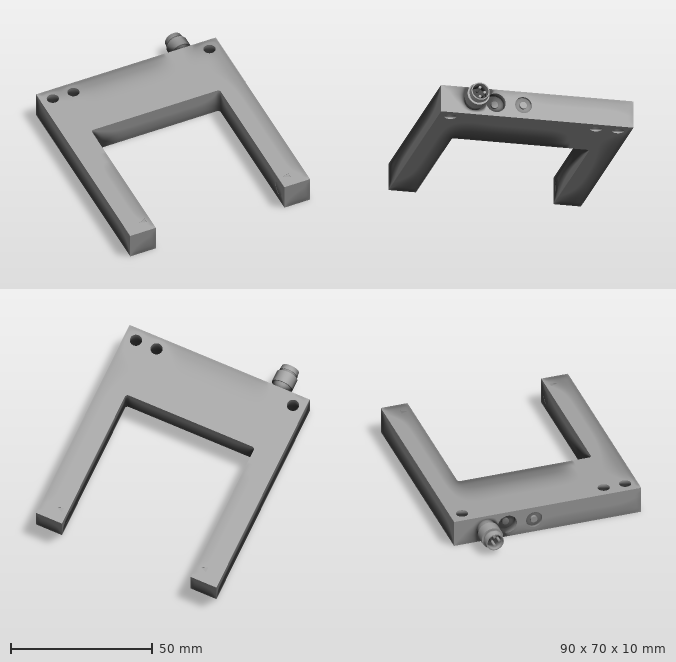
import cadquery as cq

OVERALL_LENGTH = 90.0
BODY_WIDTH = 70.0
THICKNESS = 10.0
CONNECTOR_LENGTH = 10.0
BODY_LENGTH = OVERALL_LENGTH - CONNECTOR_LENGTH
ARM_WIDTH = 10.0
BRIDGE_LENGTH = 25.0
INNER_CORNER_RADIUS = 1.0
FORK_GAP = BODY_WIDTH - 2 * ARM_WIDTH

TOP_Z = THICKNESS / 2
HALF_WIDTH = BODY_WIDTH / 2

MOUNT_DIAMETER = 4.3
MOUNT_INSET = 4.5
MOUNT_PAIR_SPACING = 8.0

CONNECTOR_OFFSET = 12.0
ADJUSTER_OFFSET = 20.0
INDICATOR_OFFSET = 30.0
CONNECTOR_Y = HALF_WIDTH - CONNECTOR_OFFSET
ADJUSTER_Y = HALF_WIDTH - ADJUSTER_OFFSET
INDICATOR_Y = HALF_WIDTH - INDICATOR_OFFSET
STUD_HEIGHT = 1.0
ADJUSTER_DIAMETER = 7.0
ADJUSTER_DEPTH = 3.0
INDICATOR_DIAMETER = 6.0
INDICATOR_DEPTH = STUD_HEIGHT
STUD_DIAMETER = 2.5

SHANK_DIAMETER = 7.0
COLLAR_DIAMETER = 8.0
NECK_DIAMETER = 6.5
COLLAR_START = 2.8
COLLAR_END = 7.0
BARB_START = 8.0
SOCKET_DIAMETER = 5.8
SOCKET_DEPTH = 5.4
PIN_DIAMETER = 1.0
PIN_LENGTH = 4.7
PIN_CIRCLE_RADIUS = 1.7

BEAM_INSET = 4.95
WINDOW_DIAMETER = 5.0
WINDOW_DEPTH = 0.1
ARROW_WIDTH = 2.0
ARROW_LENGTH = 2.5
ARROW_DEPTH = 0.1
UPPER_ARROW_OFFSET = 5.85
LOWER_ARROW_OFFSET = 8.4
UPPER_ARROW_BASE_Y = HALF_WIDTH - UPPER_ARROW_OFFSET
LOWER_ARROW_BASE_Y = -HALF_WIDTH + LOWER_ARROW_OFFSET
BEAM_X = BODY_LENGTH - BEAM_INSET


def rod(start_x, end_x, y, z, diameter):
    """Cylinder along X between two X positions."""
    profile = cq.Workplane("YZ", origin=(start_x, y, z)).circle(diameter / 2)
    return profile.extrude(end_x - start_x)


def make_body():
    plate = cq.Workplane("XY").box(BODY_LENGTH, BODY_WIDTH, THICKNESS, centered=(False, True, True))
    gap_length = BODY_LENGTH - BRIDGE_LENGTH
    gap = (
        cq.Workplane("XY")
        .box(gap_length, FORK_GAP, THICKNESS, centered=(False, True, True))
        .edges("|Z and <X")
        .fillet(INNER_CORNER_RADIUS)
        .translate((BRIDGE_LENGTH, 0, 0))
    )
    return plate.cut(gap)


def make_mounting_holes():
    edge_y = HALF_WIDTH - MOUNT_INSET
    centres = [(MOUNT_INSET, y) for y in (edge_y, -edge_y, -edge_y + MOUNT_PAIR_SPACING)]
    profile = cq.Workplane("XY", origin=(0, 0, -TOP_Z)).pushPoints(centres).circle(MOUNT_DIAMETER / 2)
    return profile.extrude(THICKNESS)


def make_studded_recess(y, diameter, depth):
    """Round recess in the rear face with a stud standing on its floor."""
    stud = rod(depth - STUD_HEIGHT, depth, y, 0, STUD_DIAMETER)
    return rod(0, depth, y, 0, diameter).cut(stud)


def make_connector():
    """Turned connector with a barbed tip, a socket and three contact pins."""
    shell = (
        cq.Workplane("XY")
        .moveTo(0, 0)
        .lineTo(0, SHANK_DIAMETER / 2)
        .lineTo(-COLLAR_START, SHANK_DIAMETER / 2)
        .lineTo(-COLLAR_START, COLLAR_DIAMETER / 2)
        .lineTo(-COLLAR_END, COLLAR_DIAMETER / 2)
        .lineTo(-COLLAR_END, NECK_DIAMETER / 2)
        .lineTo(-BARB_START, NECK_DIAMETER / 2)
        .lineTo(-BARB_START, SHANK_DIAMETER / 2)
        .lineTo(-CONNECTOR_LENGTH, NECK_DIAMETER / 2)
        .lineTo(-CONNECTOR_LENGTH, 0)
        .close()
        .revolve(360, (0, 0, 0), (1, 0, 0))
    )
    floor_x = SOCKET_DEPTH - CONNECTOR_LENGTH
    connector = shell.cut(rod(-CONNECTOR_LENGTH, floor_x, 0, 0, SOCKET_DIAMETER))
    pin_centres = [(0, PIN_CIRCLE_RADIUS), (0, -PIN_CIRCLE_RADIUS), (-PIN_CIRCLE_RADIUS, 0)]
    for pin_y, pin_z in pin_centres:
        connector = connector.union(rod(floor_x - PIN_LENGTH, floor_x, pin_y, pin_z, PIN_DIAMETER))
    return connector.translate((0, CONNECTOR_Y, 0))


def make_windows():
    """Shallow round insets in the facing sides of both arms."""
    span = FORK_GAP + 2 * WINDOW_DEPTH
    profile = cq.Workplane("XZ", origin=(BEAM_X, span / 2, 0)).circle(WINDOW_DIAMETER / 2)
    return profile.extrude(span)


def make_arrow(base_y):
    """Shallow triangular mark in the top face, pointing towards -Y."""
    corners = [
        (BEAM_X - ARROW_WIDTH / 2, base_y),
        (BEAM_X + ARROW_WIDTH / 2, base_y),
        (BEAM_X, base_y - ARROW_LENGTH),
    ]
    return cq.Workplane("XY", origin=(0, 0, TOP_Z)).polyline(corners).close().extrude(-ARROW_DEPTH)


result = make_body()
result = result.cut(make_mounting_holes())
result = result.cut(make_studded_recess(ADJUSTER_Y, ADJUSTER_DIAMETER, ADJUSTER_DEPTH))
result = result.cut(make_studded_recess(INDICATOR_Y, INDICATOR_DIAMETER, INDICATOR_DEPTH))
result = result.cut(make_windows())
for arrow_base_y in (UPPER_ARROW_BASE_Y, LOWER_ARROW_BASE_Y):
    result = result.cut(make_arrow(arrow_base_y))
result = result.union(make_connector())